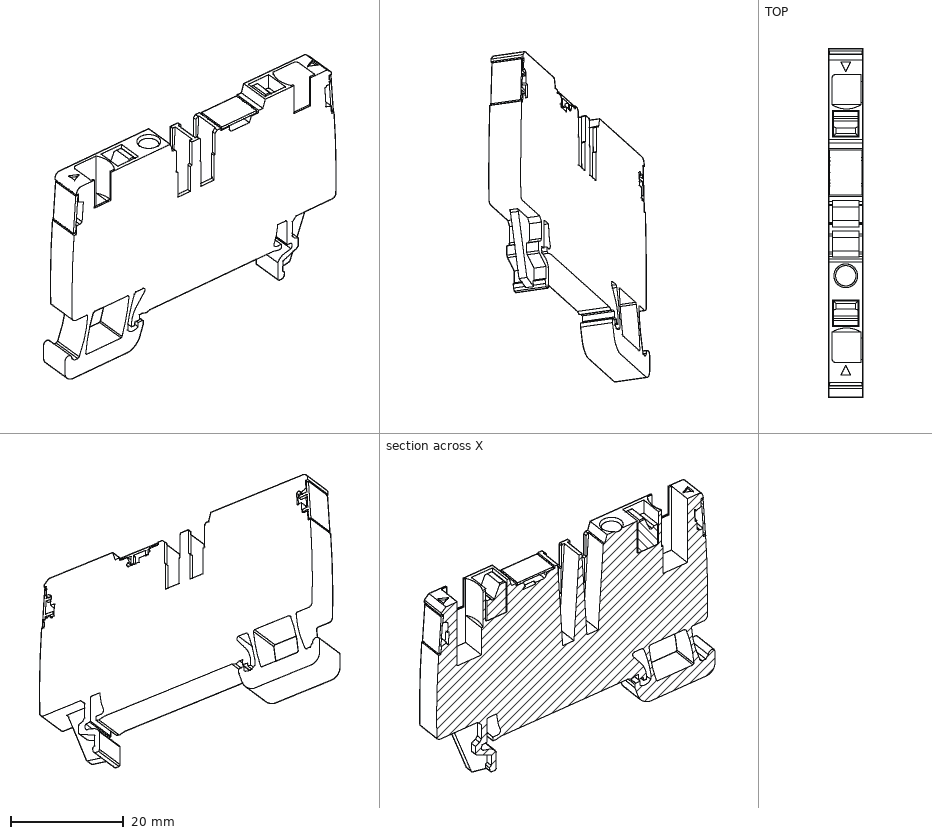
import cadquery as cq
import math


THICKNESS = 6.1
LENGTH = 61.79
TOP_Z = 41.1
BODY_HALF_WIDTH = 30.1
BODY_BOTTOM_Z = 12.4
RAIL_SEAT_Z = 7.05
DECK_Z = 39.35
MID_X = THICKNESS / 2

FLANK_RADIUS = 210.0
WIDEST_Z = 17.3
FLANK_ARC_END_Z = 31.3
FLANK_TILT = math.asin((FLANK_ARC_END_Z - WIDEST_Z) / FLANK_RADIUS)
BOTTOM_ROUND = 0.9
TOP_CHAMFER = 0.95
TOP_ROUND = 1.1

DECK_TOP_Y = (13.95, -7.7)
DECK_FLOOR_Y = (13.4, -7.17)
SLOT_FLOOR_Z = 28.75
SLOT_STEP_Z = 34.1
SLOT_STEP_RISE = 0.25
JUMPER_CENTRES_Y = (0.84, -4.53)
JUMPER_TOP_HALF = 2.33
JUMPER_FLOOR_HALF = 1.2
JUMPER_FLOOR_Z = 21.0

WALL = 0.7
WIRE_WALL = 0.6
WIRE_FAR_WALL = 0.35
WIRE_INNER_Y = 20.15
WIRE_OUTER_Y = 25.5
WIRE_FLOOR_Z = 27.0
WIRE_CORNER_RADIUS = 0.7
SCOOP_APEX_Y = 19.4
SCOOP_FLOOR_Z = 33.0
SIDE_GAP_LENGTH = 3.8
SIDE_GAP_CENTRES_Y = (22.4, -23.1)
SIDE_GAP_FLOOR_Z = 35.0
CLAMP_INNER_Y = 14.45
CLAMP_OUTER_Y = 19.1
CLAMP_FLOOR_Z = 34.0

BUTTON_CLEARANCE = 0.15
BUTTON_TOP_Z = 40.9
BUTTON_LEDGE_Z = 38.4
BUTTON_GROOVE_Z = 38.0
BUTTON_BEVEL = 0.45
BUTTON_TIP_LENGTH = 1.0

TEST_HOLE_Y = -10.15
TEST_HOLE_RADIUS = 1.8
TEST_HOLE_FLOOR_Z = 27.0
TEST_LEAD_IN = 0.3
ARROW_TIP_Y = 26.0
ARROW_BASE_Y = 27.7
ARROW_HALF_WIDTH = 0.85
ARROW_DEPTH = 0.4

LABEL_LENGTH = 7.95
LABEL_THICKNESS = 0.5
LABEL_SIDE_INSET = 0.2
LABEL_SEAT_LENGTH = 8.55
TOP_LABEL_Y = 8.16
SIDE_LABEL_Z = 35.4
LEG_WIDTH = 0.55
HOOK_LEG_Y = 1.63
PLAIN_LEG_Y = -1.63
CLIP_HOLE_DEPTH = 1.7
HOOK_DEPTH = 2.25
LEG_LENGTH = 0.6
RECESS_DEPTH = 2.6
RECESS_NEAR_X = 0.4
RECESS_FAR_X = 1.6

RIB_THICKNESS = 1.5


def side_outline(y, z, x=0.0):
    """Start an outline in a plane across X."""
    return cq.Workplane("YZ", origin=(x, 0, 0)).moveTo(y, z)


def block(x_range, y_range, z_range):
    """Axis-aligned box given by its limits."""
    size = [max(limits) - min(limits) for limits in (x_range, y_range, z_range)]
    return cq.Workplane("XY").box(*size, centered=False).translate(
        (min(x_range), min(y_range), min(z_range))
    )


def flank_y(z):
    """Half width of the body at a height on the tilted stretch of its flank."""
    arc_inset = FLANK_RADIUS * (1 - math.cos(FLANK_TILT))
    return BODY_HALF_WIDTH - arc_inset - (z - FLANK_ARC_END_Z) * math.tan(FLANK_TILT)


def make_body():
    bottom_tilt = math.asin((WIDEST_Z - BODY_BOTTOM_Z) / FLANK_RADIUS)
    bottom_y = BODY_HALF_WIDTH - FLANK_RADIUS * (1 - math.cos(bottom_tilt))
    arc_end_y = flank_y(FLANK_ARC_END_Z)
    body = (
        side_outline(bottom_y, BODY_BOTTOM_Z)
        .threePointArc((BODY_HALF_WIDTH, WIDEST_Z), (arc_end_y, FLANK_ARC_END_Z))
        .lineTo(flank_y(TOP_Z), TOP_Z)
        .lineTo(-flank_y(TOP_Z), TOP_Z)
        .lineTo(-arc_end_y, FLANK_ARC_END_Z)
        .threePointArc((-BODY_HALF_WIDTH, WIDEST_Z), (-bottom_y, BODY_BOTTOM_Z))
        .close()
        .extrude(THICKNESS)
    )
    body = body.faces("<Z").edges("|X").fillet(BOTTOM_ROUND)
    body = body.faces(">Z").edges(">Y").chamfer(TOP_CHAMFER)
    return body.faces(">Z").edges("<Y").fillet(TOP_ROUND)


def make_rail_seat():
    """Middle of the underside, with a small hook at each end for the rail edges."""
    return (
        side_outline(16.8, BODY_BOTTOM_Z)
        .lineTo(16.4, 9.85)
        .lineTo(15.95, 8.6)
        .threePointArc((16.05, 8.05), (16.65, 7.75))
        .lineTo(17.6, 7.75)
        .lineTo(17.6, 6.9)
        .lineTo(16.98, 6.75)
        .lineTo(15.8, RAIL_SEAT_Z)
        .lineTo(-12.35, RAIL_SEAT_Z)
        .lineTo(-13.2, 6.75)
        .lineTo(-14.06, RAIL_SEAT_Z)
        .lineTo(-14.7, RAIL_SEAT_Z)
        .lineTo(-14.7, 5.97)
        .lineTo(-15.75, 5.9)
        .lineTo(-15.9, 5.2)
        .lineTo(-16.5, 5.2)
        .lineTo(-16.5, 6.4)
        .threePointArc((-16.25, 7.5), (-15.6, 8.9))
        .lineTo(-13.6, 11.55)
        .threePointArc((-13.5, 12.1), (-13.8, BODY_BOTTOM_Z))
        .close()
        .extrude(THICKNESS)
    )


def make_latch_foot():
    """Curved strip that grips the +Y rail edge."""
    return (
        side_outline(18.6, BODY_BOTTOM_Z)
        .threePointArc((18.77, 12.32), (18.84, 12.15))
        .lineTo(18.84, 7.2)
        .lineTo(19.0, 7.05)
        .lineTo(19.86, 7.0)
        .threePointArc((20.05, 6.4), (19.8, 5.8))
        .lineTo(18.37, 5.45)
        .threePointArc((17.45, 4.95), (16.8, 4.1))
        .lineTo(16.8, 0.4)
        .lineTo(17.05, 0.1)
        .lineTo(17.9, 0.1)
        .lineTo(18.28, 0.55)
        .lineTo(18.37, 1.3)
        .lineTo(17.97, 1.65)
        .lineTo(17.97, 3.9)
        .lineTo(18.37, 4.1)
        .lineTo(21.17, 5.3)
        .lineTo(21.48, 5.65)
        .lineTo(21.48, 7.4)
        .lineTo(20.55, 7.85)
        .lineTo(20.14, 8.45)
        .lineTo(20.14, 11.55)
        .lineTo(21.0, BODY_BOTTOM_Z)
        .close()
        .extrude(THICKNESS)
    )


def make_latch_rib():
    """Thin web behind the latch foot; its inner edge lies inside the strip."""
    return (
        side_outline(25.8, BODY_BOTTOM_Z, MID_X - RIB_THICKNESS / 2)
        .lineTo(25.45, 12.0)
        .lineTo(21.48, 1.2)
        .lineTo(21.3, 0.95)
        .lineTo(18.1, 0.35)
        .lineTo(17.7, 1.65)
        .lineTo(17.7, 4.0)
        .lineTo(21.2, 5.6)
        .lineTo(21.2, 7.3)
        .lineTo(19.9, 8.2)
        .lineTo(19.9, BODY_BOTTOM_Z)
        .close()
        .extrude(RIB_THICKNESS)
    )


def make_spring_foot():
    """Foot for the -Y rail edge, hung on two thin curved legs."""
    end_y = BODY_HALF_WIDTH - LENGTH
    corner_radius = 1.9
    nub_radius = 0.77
    nub_centre_z = 4.62
    corner_inset = corner_radius * (1 - math.sqrt(0.5))
    floor_z = 3.87
    foot = (
        side_outline(-26.8, BODY_BOTTOM_Z)
        .threePointArc((-26.6, 12.3), (-26.55, 12.0))
        .threePointArc((-27.05, 8.5), (-28.15, 5.0))
        .lineTo(-28.45, 4.1)
        .lineTo(-28.8, floor_z)
        .lineTo(-29.6, floor_z)
        .lineTo(end_y + 2 * nub_radius, nub_centre_z)
        .threePointArc((end_y + nub_radius, nub_centre_z + nub_radius), (end_y, nub_centre_z))
        .lineTo(end_y, corner_radius)
        .threePointArc((end_y + corner_inset, corner_inset), (end_y + corner_radius, 0))
        .lineTo(-17.2, 0)
        .threePointArc((-15.75, 0.7), (-14.68, 2.1))
        .lineTo(-13.84, 4.6)
        .lineTo(-13.84, 5.35)
        .lineTo(-14.05, 5.5)
        .lineTo(-15.05, 5.5)
        .lineTo(-15.05, 4.6)
        .threePointArc((-16.25, 4.2), (-17.4, 4.85))
        .lineTo(-17.4, 6.1)
        .threePointArc((-16.9, 8.6), (-16.3, 10.8))
        .lineTo(-15.9, 12.0)
        .lineTo(-15.55, BODY_BOTTOM_Z)
        .close()
        .extrude(THICKNESS)
    )
    window = (
        side_outline(-17.35, BODY_BOTTOM_Z)
        .lineTo(-24.9, BODY_BOTTOM_Z)
        .lineTo(-25.25, 12.15)
        .threePointArc((-26.35, 8.3), (-26.95, 4.1))
        .lineTo(-26.75, floor_z)
        .lineTo(-18.9, floor_z)
        .lineTo(-18.7, 4.1)
        .threePointArc((-17.55, 8.9), (-17.1, 12.1))
        .close()
        .extrude(THICKNESS)
    )
    return foot.cut(window)


def cut_deck(housing):
    deck = (
        side_outline(DECK_TOP_Y[0], TOP_Z)
        .lineTo(DECK_FLOOR_Y[0], DECK_Z)
        .lineTo(DECK_FLOOR_Y[1], DECK_Z)
        .lineTo(DECK_TOP_Y[1], TOP_Z)
        .close()
        .extrude(THICKNESS)
    )
    return housing.cut(deck)


def jumper_slot(wide_y, narrow_y, lead_in):
    """Slot through the thickness: wide above the step, narrow below, bevelled at the deck."""
    left_lead, right_lead = lead_in
    return (
        side_outline(narrow_y[0], SLOT_FLOOR_Z)
        .lineTo(narrow_y[0], SLOT_STEP_Z)
        .lineTo(wide_y[0], SLOT_STEP_Z + SLOT_STEP_RISE)
        .lineTo(wide_y[0], DECK_Z - left_lead)
        .lineTo(wide_y[0] + left_lead, DECK_Z)
        .lineTo(wide_y[1] - right_lead, DECK_Z)
        .lineTo(wide_y[1], DECK_Z - right_lead)
        .lineTo(wide_y[1], SLOT_STEP_Z + SLOT_STEP_RISE)
        .lineTo(narrow_y[1], SLOT_STEP_Z)
        .lineTo(narrow_y[1], SLOT_FLOOR_Z)
        .close()
        .extrude(THICKNESS)
    )


def cut_jumper_slots(housing):
    housing = housing.cut(jumper_slot((2.48, -0.87), (2.3, -0.71), (0.5, 0.2)))
    housing = housing.cut(jumper_slot((-2.78, -6.3), (-3.13, -5.93), (0.05, 0.4)))
    for centre_y in JUMPER_CENTRES_Y:
        pocket = (
            side_outline(centre_y + JUMPER_TOP_HALF, DECK_Z, WALL)
            .lineTo(centre_y + JUMPER_FLOOR_HALF, JUMPER_FLOOR_Z)
            .lineTo(centre_y - JUMPER_FLOOR_HALF, JUMPER_FLOOR_Z)
            .lineTo(centre_y - JUMPER_TOP_HALF, DECK_Z)
            .close()
            .extrude(THICKNESS - 2 * WALL)
        )
        housing = housing.cut(pocket)
    return housing


def cut_wire_entry(housing, side):
    """Square wire pocket with a bowed upper inner wall."""
    far_x = THICKNESS - WIRE_FAR_WALL
    pocket = block((WIRE_WALL, far_x), (WIRE_INNER_Y, WIRE_OUTER_Y), (WIRE_FLOOR_Z, TOP_Z))
    pocket = pocket.faces("<X").edges(">Y").fillet(WIRE_CORNER_RADIUS)
    scoop = (
        cq.Workplane("XY", origin=(0, 0, SCOOP_FLOOR_Z))
        .moveTo(WIRE_WALL, WIRE_INNER_Y)
        .threePointArc(((WIRE_WALL + far_x) / 2, SCOOP_APEX_Y), (far_x, WIRE_INNER_Y))
        .close()
        .extrude(TOP_Z - SCOOP_FLOOR_Z)
    )
    opening = pocket.union(scoop)
    if side < 0:
        opening = opening.mirror("XZ")
    return housing.cut(opening)


def cut_side_gap(housing, centre_y):
    """Gap through the thin +X wall of a wire pocket."""
    y_range = (centre_y - SIDE_GAP_LENGTH / 2, centre_y + SIDE_GAP_LENGTH / 2)
    return housing.cut(block((MID_X, THICKNESS), y_range, (SIDE_GAP_FLOOR_Z, TOP_Z)))


def cut_clamp_window(housing, side):
    y_range = (side * CLAMP_INNER_Y, side * CLAMP_OUTER_Y)
    return housing.cut(block((WALL, THICKNESS - WALL), y_range, (CLAMP_FLOOR_Z, TOP_Z)))


def cut_arrow(housing, side):
    arrow = (
        cq.Workplane("XY", origin=(0, 0, TOP_Z - ARROW_DEPTH))
        .moveTo(MID_X, side * ARROW_TIP_Y)
        .lineTo(MID_X - ARROW_HALF_WIDTH, side * ARROW_BASE_Y)
        .lineTo(MID_X + ARROW_HALF_WIDTH, side * ARROW_BASE_Y)
        .close()
        .extrude(ARROW_DEPTH)
    )
    return housing.cut(arrow)


def cut_test_hole(housing):
    hole = (
        cq.Workplane("XY", origin=(MID_X, TEST_HOLE_Y, TEST_HOLE_FLOOR_Z))
        .circle(TEST_HOLE_RADIUS)
        .extrude(TOP_Z - TEST_HOLE_FLOOR_Z)
    )
    lead_in = cq.Workplane("XY").add(
        cq.Solid.makeCone(
            TEST_HOLE_RADIUS,
            TEST_HOLE_RADIUS + TEST_LEAD_IN,
            2 * TEST_LEAD_IN,
            pnt=cq.Vector(MID_X, TEST_HOLE_Y, TOP_Z - 2 * TEST_LEAD_IN),
        )
    )
    return housing.cut(hole).cut(lead_in)


def make_label():
    """Plate with two short clip legs at its -X end; the longer one reaches into the hook recess."""
    width = THICKNESS - 2 * LABEL_SIDE_INSET

    def strip(length_x, centre_y, length_y, depth):
        y_range = (centre_y - length_y / 2, centre_y + length_y / 2)
        return block((LABEL_SIDE_INSET, LABEL_SIDE_INSET + length_x), y_range, (-depth, 0))

    plate = strip(width, 0, LABEL_LENGTH, LABEL_THICKNESS)
    plain_leg = strip(LEG_LENGTH, PLAIN_LEG_Y, LEG_WIDTH, CLIP_HOLE_DEPTH)
    hook_leg = strip(LEG_LENGTH, HOOK_LEG_Y, LEG_WIDTH, HOOK_DEPTH)
    return plate.union(plain_leg).union(hook_leg)


def make_label_seat():
    """Space cut from the housing: plate channel, clip hole and a hook recess with a sloped floor."""
    seat_y = (-LABEL_SEAT_LENGTH / 2, LABEL_SEAT_LENGTH / 2)
    channel = block((0, THICKNESS), seat_y, (-LABEL_THICKNESS, LABEL_THICKNESS))
    clip_hole = (
        side_outline(2.6, -LABEL_THICKNESS)
        .lineTo(2.15, -CLIP_HOLE_DEPTH)
        .lineTo(-2.0, -CLIP_HOLE_DEPTH)
        .lineTo(-2.37, -1.2)
        .lineTo(-2.37, -LABEL_THICKNESS)
        .close()
        .extrude(THICKNESS)
    )
    recess_corner_y = 2.75
    recess = (
        side_outline(2.15, -CLIP_HOLE_DEPTH)
        .lineTo(2.44, -1.75)
        .lineTo(recess_corner_y, -2.1)
        .lineTo(2.44, -RECESS_DEPTH)
        .lineTo(0, -RECESS_DEPTH)
        .lineTo(0, -CLIP_HOLE_DEPTH)
        .close()
        .extrude(RECESS_FAR_X)
    )
    ramp = (
        cq.Workplane("XZ", origin=(0, recess_corner_y, 0))
        .moveTo(RECESS_NEAR_X, -RECESS_DEPTH)
        .lineTo(RECESS_FAR_X, -CLIP_HOLE_DEPTH)
        .lineTo(RECESS_FAR_X, -RECESS_DEPTH)
        .close()
        .extrude(recess_corner_y)
    )
    return channel.union(clip_hole).union(recess.cut(ramp))


def label_places():
    """Tilt about X and outer-face centre of the top label and the two flank labels."""
    flank_turn = 90 - math.degrees(FLANK_TILT)
    label_y = flank_y(SIDE_LABEL_Z)
    return [
        (0, TOP_LABEL_Y, DECK_Z),
        (-flank_turn, label_y, SIDE_LABEL_Z),
        (flank_turn, -label_y, SIDE_LABEL_Z),
    ]


def placed(shape, place):
    turn, y, z = place
    return shape.rotate((0, 0, 0), (1, 0, 0), turn).translate((0, y, z))


def make_button(side):
    """Button standing on the floor of a clamp window, with a bevelled tip on its inner half."""
    inner_y = CLAMP_INNER_Y + BUTTON_CLEARANCE
    outer_y = CLAMP_OUTER_Y - BUTTON_CLEARANCE
    button_x = WALL + BUTTON_CLEARANCE
    button_width = THICKNESS - 2 * button_x
    tip_y = inner_y + BUTTON_BEVEL
    tip_end_y = tip_y + BUTTON_TIP_LENGTH
    groove_y = (inner_y + 2.7, inner_y + 3.1)
    ledge_y = inner_y + 3.5
    button = (
        side_outline(inner_y, CLAMP_FLOOR_Z, button_x)
        .lineTo(inner_y, BUTTON_TOP_Z - BUTTON_BEVEL)
        .lineTo(tip_y, BUTTON_TOP_Z)
        .lineTo(tip_end_y, BUTTON_TOP_Z)
        .lineTo(groove_y[0], BUTTON_GROOVE_Z)
        .lineTo(groove_y[1], BUTTON_GROOVE_Z)
        .lineTo(ledge_y, BUTTON_LEDGE_Z)
        .lineTo(outer_y, BUTTON_LEDGE_Z)
        .lineTo(outer_y, CLAMP_FLOOR_Z)
        .close()
        .extrude(button_width)
    )
    button = button.faces(">Z").edges("|Y").chamfer(BUTTON_BEVEL)
    if side < 0:
        button = button.mirror("XZ")
    return button


housing = make_body().union(make_rail_seat())
housing = housing.union(make_latch_foot()).union(make_latch_rib()).union(make_spring_foot())
housing = cut_test_hole(cut_jumper_slots(cut_deck(housing)))
buttons = []
for end in (1, -1):
    housing = cut_wire_entry(housing, end)
    housing = cut_clamp_window(housing, end)
    housing = cut_arrow(housing, end)
    buttons.append(make_button(end))

for gap_y in SIDE_GAP_CENTRES_Y:
    housing = cut_side_gap(housing, gap_y)

labels = []
for place in label_places():
    housing = housing.cut(placed(make_label_seat(), place))
    labels.append(placed(make_label(), place))

bodies = [housing] + labels + buttons
result = cq.Compound.makeCompound([body.val() for body in bodies])